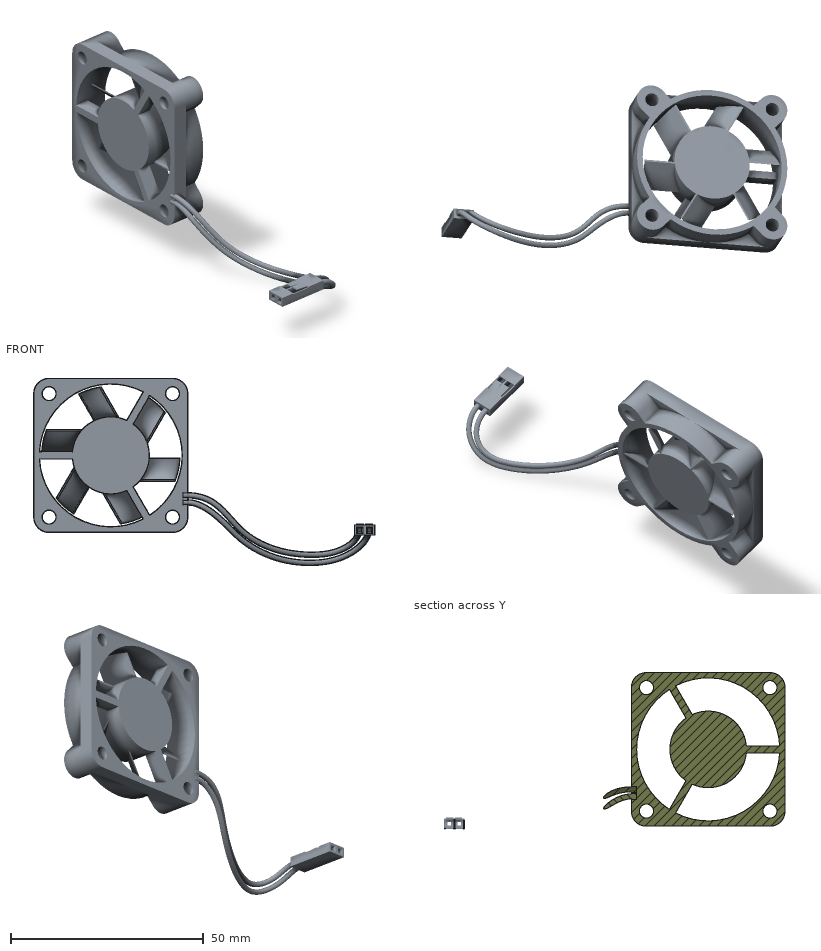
import cadquery as cq
import math

FRAME_SIDE = 40.0
FRAME_DEPTH = 10.0
FLANGE_DEPTH = 4.0
CORNER_COUNT = 4
FIRST_CORNER_ANGLE = 45
CORNER_RADIUS = 4.0
BORE_RADIUS = 37.0 / 2
SCREW_HOLE_DIAMETER = 3.5
SCREW_HOLE_OFFSET = FRAME_SIDE / 2 - CORNER_RADIUS

HUB_RADIUS = 20.0 / 2
SPOKE_COUNT = 3
SPOKE_WIDTH = 1.95
FIRST_SPOKE_ANGLE = 60

BLADE_COUNT = 6
BLADE_TIP_RADIUS = 18.0
BLADE_REAR_OFFSET = 0.7
BLADE_FRONT_OFFSET = 6.7
BLADE_WIDTH = 0.4

WIRE_RADIUS = 0.7
WIRE_START_X = 18.7
WIRE_START_Y = 0.4
UPPER_WIRE_START_Z = -10.35
LOWER_WIRE_START_Z = -12.2

CONNECTOR_WIDTH = 5.3
CONNECTOR_LENGTH = 14.25
CONNECTOR_HEIGHT = 2.65
CONNECTOR_X = 65.8
CONNECTOR_FRONT_Y = -5.4
CONNECTOR_BACK_Y = CONNECTOR_FRONT_Y + CONNECTOR_LENGTH
CONNECTOR_Z = -19.4
CONNECTOR_TOP_Z = CONNECTOR_Z + CONNECTOR_HEIGHT / 2
CONTACT_PITCH = 2.6
END_WALL = 0.7
SHELL_WALL = 0.3
CELL_SIDE = CONNECTOR_HEIGHT - 2 * SHELL_WALL
RIB_WIDTH = CONTACT_PITCH - CELL_SIDE
SOCKET_MOUTH = 1.7
SOCKET_THROAT = 1.0
SOCKET_FUNNEL_DEPTH = 0.3
WINDOW_FRONT_Y = -1.6
WINDOW_BACK_Y = 3.5
LATCH_TIP_Y = 0.1
LATCH_RISE = 0.3
LATCH_SIDE_GAP = 0.3
LATCH_WIDTH = CELL_SIDE - LATCH_SIDE_GAP

UPPER_WIRE_BENDS = [
    (25.2, 0.7, -11.5),
    (33.8, 4.4, -19.4),
    (42.3, 9.65, -24.25),
    (50.8, 14.25, -25.75),
    (59.4, 16.5, -24.6),
    (63.1, 14.6, -22.2),
]
LOWER_WIRE_BENDS = [
    (25.2, 0.7, -14.1),
    (33.8, 4.4, -21.7),
    (42.3, 9.65, -26.4),
    (50.8, 14.25, -27.9),
    (60.1, 17.0, -26.4),
    (65.8, 14.25, -22.2),
]


def disc(radius, start_y, end_y, x=0.0, z=0.0):
    """Cylinder along Y between two depths."""
    plane = cq.Workplane("XZ", origin=(x, start_y, z))
    return plane.circle(radius).extrude(start_y - end_y)


def box(x_range, y_range, z_range):
    """Block between two limits along each axis."""
    sizes = [high - low for low, high in (x_range, y_range, z_range)]
    corner = (x_range[0], y_range[0], z_range[0])
    return cq.Workplane("XY").box(*sizes, centered=False).translate(corner)


def turned(body, angle):
    """Copy of a body turned about the fan axis, from +X towards +Z."""
    return body.rotate((0, 0, 0), (0, 1, 0), -angle)


def make_frame():
    frame = make_flange().union(make_duct(), clean=False)
    for x in (-SCREW_HOLE_OFFSET, SCREW_HOLE_OFFSET):
        for z in (-SCREW_HOLE_OFFSET, SCREW_HOLE_OFFSET):
            hole = disc(SCREW_HOLE_DIAMETER / 2, 0, FRAME_DEPTH, x=x, z=z)
            frame = frame.cut(hole, clean=False)
    return frame


def make_flange():
    """Square front plate with the hub plate held on spokes in its bore."""
    half = FRAME_SIDE / 2
    flange = box((-half, half), (0, FLANGE_DEPTH), (-half, half)).edges("|Y").fillet(CORNER_RADIUS)
    flange = flange.cut(disc(BORE_RADIUS, 0, FLANGE_DEPTH))
    flange = flange.union(disc(HUB_RADIUS, 0, FLANGE_DEPTH))
    spoke_reach = (BORE_RADIUS + half) / 2
    spoke = box((0, spoke_reach), (0, FLANGE_DEPTH), (-SPOKE_WIDTH / 2, SPOKE_WIDTH / 2))
    for number in range(SPOKE_COUNT):
        flange = flange.union(turned(spoke, FIRST_SPOKE_ANGLE + 360 / SPOKE_COUNT * number))

    for z in (UPPER_WIRE_START_Z, LOWER_WIRE_START_Z):
        seat = cq.Workplane("YZ", origin=(WIRE_START_X, WIRE_START_Y, z))
        flange = flange.cut(seat.circle(WIRE_RADIUS).extrude(half - WIRE_START_X))
    return flange


def make_duct():
    """Round duct behind the flange, tied by straight webs to a round boss at each corner."""
    duct = disc(FRAME_SIDE / 2, FLANGE_DEPTH, FRAME_DEPTH)
    boss_distance = SCREW_HOLE_OFFSET * math.sqrt(2)
    boss = disc(CORNER_RADIUS, FLANGE_DEPTH, FRAME_DEPTH, x=boss_distance)
    web = box((0, boss_distance), (FLANGE_DEPTH, FRAME_DEPTH), (-CORNER_RADIUS, CORNER_RADIUS))
    for corner in range(CORNER_COUNT):
        duct = duct.union(turned(boss.union(web), FIRST_CORNER_ANGLE + 360 / CORNER_COUNT * corner))
    return duct.cut(disc(BORE_RADIUS, FLANGE_DEPTH, FRAME_DEPTH))


def make_impeller():
    blade = (
        cq.Workplane("YZ")
        .polyline([
            (FRAME_DEPTH, -BLADE_REAR_OFFSET),
            (FRAME_DEPTH, -BLADE_REAR_OFFSET - BLADE_WIDTH),
            (FLANGE_DEPTH, -BLADE_FRONT_OFFSET),
            (FLANGE_DEPTH, -BLADE_FRONT_OFFSET + BLADE_WIDTH),
        ])
        .close()
        .extrude(BLADE_TIP_RADIUS)
        .intersect(disc(BLADE_TIP_RADIUS, FLANGE_DEPTH, FRAME_DEPTH))
    )
    impeller = disc(HUB_RADIUS, FLANGE_DEPTH, FRAME_DEPTH)
    for number in range(BLADE_COUNT):
        impeller = impeller.union(turned(blade, 360 / BLADE_COUNT * number))
    return impeller


def make_wire(start_z, bends, contact_x):
    start = cq.Vector(WIRE_START_X, WIRE_START_Y, start_z)
    frame_exit = cq.Vector(FRAME_SIDE / 2, WIRE_START_Y, start_z)
    end = cq.Vector(contact_x, CONNECTOR_BACK_Y, CONNECTOR_Z)
    points = [frame_exit] + [cq.Vector(*bend) for bend in bends] + [end]
    tangents = [cq.Vector(1, 0, 0), cq.Vector(0, -1, 0)]
    straight = cq.Edge.makeLine(start, frame_exit)
    curve = cq.Edge.makeSpline(points, tangents=tangents, scale=False)
    path = cq.Wire.assembleEdges([straight, curve])
    profile = cq.Workplane("YZ", origin=start.toTuple()).circle(WIRE_RADIUS)
    return profile.sweep(cq.Workplane(path))


def make_connector():
    half_width = CONNECTOR_WIDTH / 2
    x_range = (CONNECTOR_X - half_width, CONNECTOR_X + half_width)
    z_range = (CONNECTOR_Z - CONNECTOR_HEIGHT / 2, CONNECTOR_TOP_Z)
    connector = box(x_range, (CONNECTOR_FRONT_Y, CONNECTOR_BACK_Y), z_range)

    cell_top_z = CONNECTOR_Z + CELL_SIDE / 2
    window_y = (WINDOW_FRONT_Y, WINDOW_BACK_Y)
    window = box(x_range, window_y, (cell_top_z, CONNECTOR_TOP_Z))
    rib = box((CONNECTOR_X - RIB_WIDTH / 2, CONNECTOR_X + RIB_WIDTH / 2), window_y, (cell_top_z, CONNECTOR_TOP_Z))
    connector = connector.cut(window).union(rib)

    for side in (-1, 1):
        contact_x = CONNECTOR_X + side * CONTACT_PITCH / 2
        connector = connector.cut(make_contact_cell(contact_x))
        connector = connector.union(make_latch(CONNECTOR_X + side * RIB_WIDTH / 2, side))
    return connector


def make_contact_cell(contact_x):
    """Closed square cell with a funnel-mouthed square socket through the front wall."""
    half_cell = CELL_SIDE / 2
    cell = box(
        (contact_x - half_cell, contact_x + half_cell),
        (CONNECTOR_FRONT_Y + END_WALL, CONNECTOR_BACK_Y - END_WALL),
        (CONNECTOR_Z - half_cell, CONNECTOR_Z + half_cell),
    )
    mouth = cq.Workplane("XZ", origin=(contact_x, CONNECTOR_FRONT_Y, CONNECTOR_Z))
    throat = mouth.rect(SOCKET_THROAT, SOCKET_THROAT).extrude(-END_WALL)
    funnel = (
        mouth.rect(SOCKET_MOUTH, SOCKET_MOUTH)
        .workplane(offset=-SOCKET_FUNNEL_DEPTH)
        .rect(SOCKET_THROAT, SOCKET_THROAT)
        .loft()
    )
    return cell.union(throat).union(funnel)


def make_latch(rib_face_x, side):
    """Tongue in the window, rising from the roof towards its free front end."""
    return (
        cq.Workplane("YZ", origin=(rib_face_x, 0, 0))
        .polyline([
            (WINDOW_BACK_Y, CONNECTOR_TOP_Z),
            (WINDOW_BACK_Y, CONNECTOR_TOP_Z - SHELL_WALL),
            (LATCH_TIP_Y, CONNECTOR_TOP_Z - SHELL_WALL + LATCH_RISE),
            (LATCH_TIP_Y, CONNECTOR_TOP_Z + LATCH_RISE),
        ])
        .close()
        .extrude(side * LATCH_WIDTH)
    )


frame = make_frame()
impeller = make_impeller()
wires = [
    make_wire(UPPER_WIRE_START_Z, UPPER_WIRE_BENDS, CONNECTOR_X - CONTACT_PITCH / 2),
    make_wire(LOWER_WIRE_START_Z, LOWER_WIRE_BENDS, CONNECTOR_X + CONTACT_PITCH / 2),
]
connector = make_connector()

result = cq.Compound.makeCompound(
    [frame.val(), impeller.val(), *[wire.val() for wire in wires], connector.val()]
)